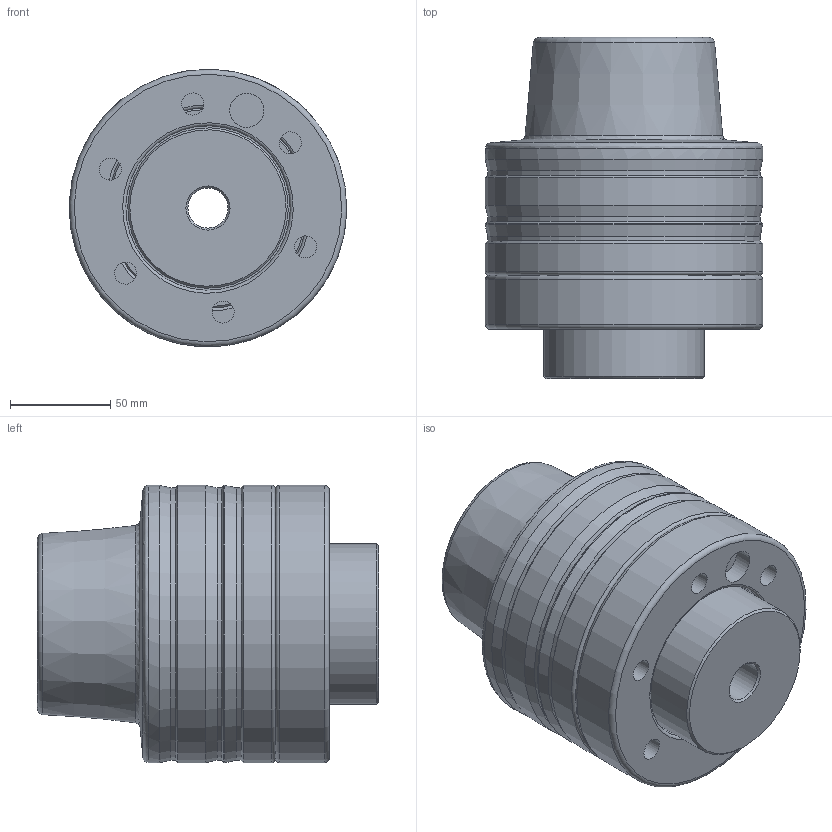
import cadquery as cq
import math


body_radius = 69.15
total_length = 170.0
clocking_angle = 38.3

shaft_radius = 40.0
shaft_chamfer = 1.0
bore_radius = 10.0
bore_chamfer = 1.0
flange_radius = 50.0
flange_thickness = 15.0
flange_chamfer = 0.8

cover_front = 24.5
cover_thickness = 27.0
cover_back = cover_front + cover_thickness
cover_front_fillet = 2.5
cover_back_fillet = 2.2
cover_hole_radius = 41.0
cover_hole_fillet = 1.5
pitch_radius = 52.4
screw_hole_radius = 5.5
screw_count = 6
screw_pitch_angle = 360 / screw_count
locating_hole_radius = 8.5
locating_hole_depth = 9.0

housing_front_fillet = 1.6
recess_fillet = 1.4
draft_angle = 5.0
draft_slope = math.tan(math.radians(draft_angle))
nose_end_radius = 45.0
nose_end_fillet = 3.0
nose_root_y = 119.0
nose_root_radius = nose_end_radius + (total_length - nose_root_y) * draft_slope
nose_root_fillet = 2.5
shoulder_y = nose_root_y - (body_radius - nose_root_radius) * draft_slope
shoulder_fillet = 2.8

groove_depth = 1.25
groove_rise = 1.1
groove_floor = 2.3
groove_taper = 5.8
groove_starts = (67.4, 77.1, 100.1)


def turned(profile):
    """Revolve a (radius, y) outline about Y, with its part line at the clocking angle."""
    solid = cq.Workplane("XY").polyline(profile).close().revolve(360, (0, 0, 0), (0, 1, 0))
    return solid.rotate((0, 0, 0), (0, -1, 0), clocking_angle)


def cylinder(radius, start, end):
    return turned([(0, start), (radius, start), (radius, end), (0, end)])


def rim_at(y):
    """Select the circular edge centred on the axis nearest to the given y."""
    return cq.selectors.NearestToPointSelector((0, y, 0))


def groove_outline(start):
    floor_radius = body_radius - groove_depth
    floor_start = start + groove_rise
    floor_end = floor_start + groove_floor
    return [
        (body_radius, start),
        (floor_radius, floor_start),
        (floor_radius, floor_end),
        (body_radius, floor_end + groove_taper),
    ]


def make_shaft():
    flange_back = cover_back + flange_thickness
    shaft = turned([
        (0, 0),
        (shaft_radius - shaft_chamfer, 0),
        (shaft_radius, shaft_chamfer),
        (shaft_radius, cover_back),
        (flange_radius - flange_chamfer, cover_back),
        (flange_radius, cover_back + flange_chamfer),
        (flange_radius, flange_back),
        (0, flange_back),
    ])
    bore = turned([
        (0, 0),
        (bore_radius + bore_chamfer, 0),
        (bore_radius, bore_chamfer),
        (bore_radius, flange_back),
        (0, flange_back),
    ])
    return shaft.cut(bore)


def make_cover():
    cover = cylinder(body_radius, cover_front, cover_back)
    cover = cover.edges(rim_at(cover_front)).fillet(cover_front_fillet)
    cover = cover.edges(rim_at(cover_back)).fillet(cover_back_fillet)
    centre_hole = cylinder(cover_hole_radius, cover_front, cover_back)
    cover = cover.cut(centre_hole)
    cover = cover.faces("<Y").edges(cq.selectors.RadiusNthSelector(0)).fillet(cover_hole_fillet)

    front = cq.Workplane("XZ", origin=(0, cover_front, 0))
    screw_holes = (
        front.polarArray(pitch_radius, clocking_angle, 360, screw_count)
        .circle(screw_hole_radius)
        .extrude(-cover_thickness)
    )
    locating_hole = (
        front.polarArray(pitch_radius, clocking_angle + screw_pitch_angle / 2, 360, 1)
        .circle(locating_hole_radius)
        .extrude(-locating_hole_depth)
    )
    return cover.cut(screw_holes).cut(locating_hole)


def make_housing():
    outline = [(0, cover_back), (body_radius, cover_back)]
    for start in groove_starts:
        outline += groove_outline(start)
    outline += [
        (body_radius, shoulder_y),
        (nose_root_radius, nose_root_y),
        (nose_end_radius, total_length),
        (0, total_length),
    ]
    housing = turned(outline)
    housing = housing.edges(rim_at(cover_back)).fillet(housing_front_fillet)
    housing = housing.edges(rim_at(shoulder_y)).fillet(shoulder_fillet)
    housing = housing.edges(rim_at(nose_root_y)).fillet(nose_root_fillet)
    housing = housing.edges(rim_at(total_length)).fillet(nose_end_fillet)

    flange_recess = cylinder(flange_radius, cover_back, cover_back + flange_thickness)
    housing = housing.cut(flange_recess)
    recess_rim = housing.faces("<Y").edges(cq.selectors.RadiusNthSelector(0))
    housing = recess_rim.fillet(recess_fillet)
    return housing.cut(cylinder(bore_radius, cover_back, total_length))


shaft = make_shaft()
cover = make_cover()
housing = make_housing()

result = cq.Compound.makeCompound([shaft.val(), cover.val(), housing.val()])